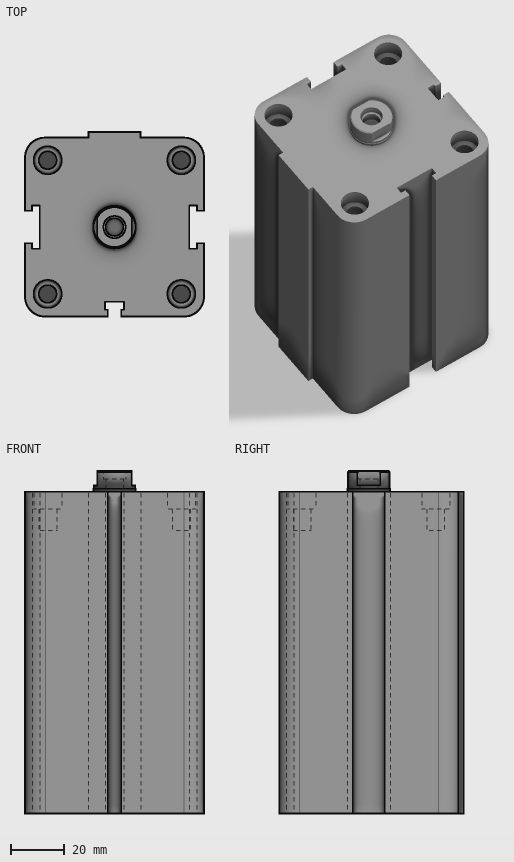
import cadquery as cq

side = 67.0
total_height = 128.0
rod_projection = 7.7
housing_height = total_height - rod_projection
corner_radius = 7.5

rib_width = 19.5
rib_height = 2.0

slot_depth = 5.5
slot_lip = 2.7
side_slot_mouth = 12.0
side_slot_width = 16.0
front_slot_mouth = 5.0
front_slot_width = 6.9

screw_spacing = 49.9
screw_bore_diameter = 10.5
screw_bore_depth = 6.4
screw_hole_diameter = 6.7
screw_hole_depth = 14.5

collar_diameter = 16.0
collar_height = 1.0
rod_diameter = 15.6
rod_chamfer = 0.4
flat_spacing = 13.0
flat_height = 5.4
thread_diameter = 6.7
thread_depth = 6.4
thread_mouth_diameter = 8.3
thread_mouth_depth = 3.0


def undercut_slot(mouth, width):
    """Slot cutter opening through the front (-Y) side of the housing."""
    front = -side / 2
    pocket_depth = slot_depth - slot_lip
    neck = cq.Workplane("XY").box(mouth, slot_depth, housing_height, centered=(True, False, False))
    pocket = cq.Workplane("XY").box(width, pocket_depth, housing_height, centered=(True, False, False))
    return neck.translate((0, front, 0)).union(pocket.translate((0, front + slot_lip, 0)))


def make_housing():
    body = cq.Workplane("XY").rect(side, side).extrude(housing_height).edges("|Z").fillet(corner_radius)

    rib = cq.Workplane("XY").box(
        rib_width, side / 2 + rib_height, housing_height, centered=(True, False, False)
    )
    body = body.union(rib)

    body = body.cut(undercut_slot(front_slot_mouth, front_slot_width))
    side_slot = undercut_slot(side_slot_mouth, side_slot_width)
    for angle in (-90, 90):
        body = body.cut(side_slot.rotate((0, 0, 0), (0, 0, 1), angle))

    return (
        body.faces(">Z")
        .workplane(origin=(0, 0, housing_height))
        .rect(screw_spacing, screw_spacing, forConstruction=True)
        .vertices()
        .cboreHole(screw_hole_diameter, screw_bore_diameter, screw_bore_depth, screw_hole_depth)
    )


def make_rod():
    collar = cq.Workplane("XY").circle(collar_diameter / 2).extrude(collar_height)
    shank = (
        cq.Workplane("XY")
        .circle(rod_diameter / 2)
        .extrude(rod_projection)
        .faces(">Z")
        .edges()
        .chamfer(rod_chamfer)
    )
    rod = collar.union(shank)

    flat_zone = (
        cq.Workplane("XY")
        .workplane(offset=rod_projection - flat_height)
        .rect(2 * rod_diameter, 2 * rod_diameter)
        .rect(flat_spacing, 2 * rod_diameter)
        .extrude(flat_height)
    )
    rod = rod.cut(flat_zone)

    return (
        rod.faces(">Z")
        .workplane(origin=(0, 0, rod_projection))
        .cboreHole(thread_diameter, thread_mouth_diameter, thread_mouth_depth, thread_depth)
    )


housing = make_housing()
rod = make_rod().translate((0, 0, housing_height))

result = cq.Compound.makeCompound([housing.val(), rod.val()])